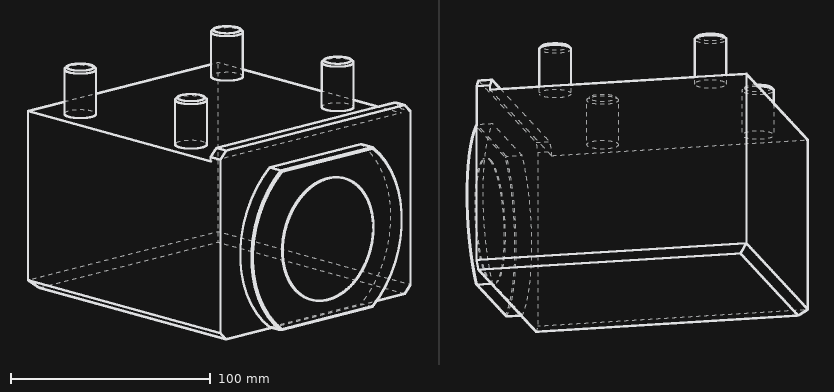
import cadquery as cq

total_length = 148.0
width = 132.0
total_height = 116.0

block_length = 138.8
block_height = 91.8
edge_chamfer = 4.0

lip_thickness = 7.0
lip_top = 98.0

pin_diameter = 16.0
pin_chamfer = 1.2
pin_first_x = 22.0
pin_spacing_x = 79.9
pin_spacing_y = 101.8

cap_diameter = 104.5
cap_flat_height = 82.9
cap_thickness = 8.6
cap_chamfer = 0.6
cap_center_z = 42.0
pad_diameter = 63.0


def make_block():
    """Block whose bottom edges are chamfered on every side except +X."""
    block = cq.Workplane("XY").box(block_length, width, block_height, centered=(False, True, False))
    return block.edges("<Z").edges("|X or <X").chamfer(edge_chamfer)


def make_lip():
    """Bar along the full width with its two upper ends chamfered."""
    lip = (
        cq.Workplane("XY")
        .box(lip_thickness, width, lip_top - block_height, centered=(False, True, False))
        .edges(">Z and |X")
        .chamfer(edge_chamfer)
    )
    return lip.translate((block_length - lip_thickness, 0, block_height))


def make_pins():
    """Four upright pins with chamfered tips."""
    return (
        cq.Workplane("XY", origin=(pin_first_x + pin_spacing_x / 2, 0, block_height))
        .rarray(pin_spacing_x, pin_spacing_y, 2, 2)
        .circle(pin_diameter / 2)
        .extrude(total_height - block_height)
        .faces(">Z")
        .chamfer(pin_chamfer)
    )


def make_cap():
    """Flatted disc on the +X face, with the round pad in its centre."""
    end_face = cq.Workplane("YZ", origin=(block_length, 0, cap_center_z))
    disc = end_face.circle(cap_diameter / 2).extrude(cap_thickness)
    band = end_face.rect(cap_diameter, cap_flat_height).extrude(cap_thickness)
    cap = disc.intersect(band).faces(">X").chamfer(cap_chamfer)
    pad = end_face.circle(pad_diameter / 2).extrude(total_length - block_length)
    return cap.union(pad)


result = make_block().union(make_lip()).union(make_pins()).union(make_cap())